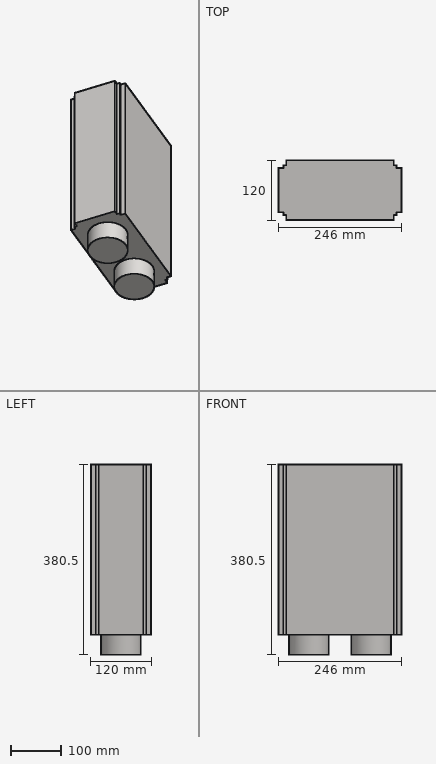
import cadquery as cq

width = 246.0
depth = 120.0
height = 380.5

corner_notch = 15.5
strip_side = 8.0
strip_inset = 10.0

spigot_diameter = 80.0
spigot_length = 40.0
spigot_spacing = 124.5

body_height = height - spigot_length


def upright_block(size_x, size_y):
    """Block of body height, centred on the Z axis, standing on the spigots."""
    block = cq.Workplane("XY").box(size_x, size_y, body_height, centered=(True, True, False))
    return block.translate((0, 0, spigot_length))


wide_block = upright_block(width, depth - 2 * corner_notch)
deep_block = upright_block(width - 2 * corner_notch, depth)
body = wide_block.union(deep_block)

strip_x = width / 2 - strip_inset - strip_side / 2
strip_y = depth / 2 - strip_inset - strip_side / 2
for side_x in (-1, 1):
    for side_y in (-1, 1):
        strip = upright_block(strip_side, strip_side)
        body = body.union(strip.translate((side_x * strip_x, side_y * strip_y, 0)))

spigots = (
    cq.Workplane("XY")
    .pushPoints([(-spigot_spacing / 2, 0), (spigot_spacing / 2, 0)])
    .circle(spigot_diameter / 2)
    .extrude(spigot_length)
)

result = body.union(spigots)